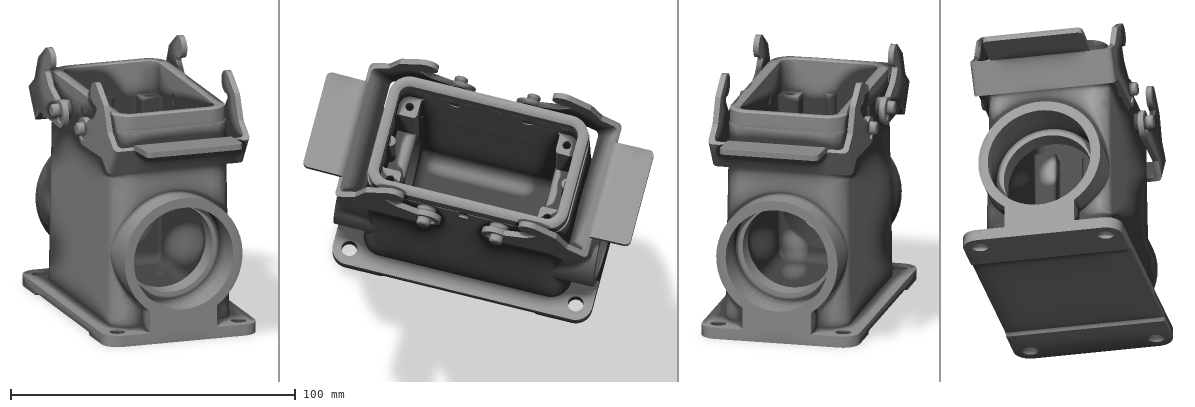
import cadquery as cq
import math

FLANGE_LENGTH = 93.9
FLANGE_WIDTH = 57.0
FLANGE_HEIGHT = 4.0
FLANGE_CORNER = 5.9
MOUNT_HOLE_DIA = 5.6
RELIEF_HEIGHT = 1.1
RELIEF_LENGTH = 56.9
RELIEF_SLOPE = 1.1

SHELL_LENGTH = 75.0
SHELL_WIDTH = 45.0
SHELL_CORNER = 7.4
SHELL_TOP = 75.0
DRAFT = 0.85

RIM_TOP = 80.7
RIM_LENGTH = 72.1
RIM_WIDTH = 42.7
RIM_CORNER = 7.5
RIM_WALL = 3.7
RIM_CROWN = 0.5
RIM_INNER_EDGE = 76.6

LEDGE_HEIGHT = 49.4
LEDGE_ROUND = 2.6
WELL_LENGTH = 50.3
WELL_WIDTH = 34.7
FLOOR_HEIGHT = 9.5
FLOOR_ROUND = 3.5
WELL_CORNER = 1.1

PILLAR_TOP = 68.8
PILLAR_FACE_Y = 10.1
PILLAR_ROUND = 1.4
PILLAR_END_BLEND = 0.7
SCREW_X = 28.5
SCREW_Y = 13.8
SCREW_DIA = 3.0
SCREW_DEPTH = 11.9
KEY_RADIUS = 1.9
KEY_INSET = 0.4

TUBE_DIA = 43.9
TUBE_HEIGHT = 30.1
BORE_DIA = 32.0
COUNTERBORE_DIA = 37.0
COUNTERBORE_DEPTH = 14.8
FOOT_WIDTH = 24.9
FOOT_RELIEF = 7.1

NOTCH_WIDTH = 3.3
NOTCH_HEIGHT = 4.7
NOTCH_DEPTH = 1.0

PIN_X = 13.2
PIN_Z = 71.0
PIN_DIA = 4.7
PIN_END = 28.0
PIN_CHAMFER = 0.5
PIN_ROOT = 1.2
PIN_COLLAR_DIA = 7.0
COLLAR_ROUND = 0.7
PIN_DIMPLE_DIA = 4.0
PIN_DIMPLE_DEPTH = 0.2

LEVER_HALF_WIDTH = 25.4
SHEET = 2.0
WEB_SHEET = 1.4
GAP_REACH = 59.3
EYE_X = -12.5
EYE_Z = 69.8
EYE_RADIUS = 5.0
SLOT_DX = 1.4
SLOT_DZ = -2.1
TIP_X = -24.8
TIP_Z = 86.7
TIP_RADIUS = 4.0
WEB_TOP = (-45.8, 70.8)
WEB_ANGLE = 55.5
WEB_LENGTH = 12.1
BEND_ROUND = 1.8
TAB_END = -59.3
TAB_TOP = 73.4
TAB_LIP = 1.2
BEND_HEIGHT = 72.8
TAB_BEND_ROUND = 3.1
TAB_WIDTH = 35.8
TAB_CORNER = 1.9


def rounded_plate(length, width, corner, bottom, top):
    """Rounded rectangular block with straight sides."""
    outline = cq.Sketch().rect(length, width).vertices().fillet(corner)
    return cq.Workplane("XY").workplane(offset=bottom).placeSketch(outline).extrude(top - bottom)


def drafted_block(length, width, corner, bottom, top, inset):
    """Rounded block whose sides move in by inset from bottom to top, with constant corners."""
    lower = cq.Sketch().rect(length, width).vertices().fillet(corner)
    upper = cq.Sketch().rect(length - 2 * inset, width - 2 * inset).vertices().fillet(corner)
    upper = upper.moved(cq.Location(cq.Vector(0, 0, top - bottom)))
    return cq.Workplane("XY").workplane(offset=bottom).placeSketch(lower, upper).loft(ruled=True)


def draft_inset(height):
    """Sideways travel of a drafted wall over a height."""
    return height * math.tan(math.radians(DRAFT))


def x_cylinder(diameter, start, end):
    """Cylinder on the cable axis between two X positions."""
    return (
        cq.Workplane("YZ", origin=(start, 0, TUBE_HEIGHT))
        .circle(diameter / 2)
        .extrude(end - start)
    )


def y_cylinder(x, z, diameter, start, end):
    """Cylinder along +Y between two Y positions."""
    return cq.Workplane("XZ", origin=(x, start, z)).circle(diameter / 2).extrude(start - end)


def make_flange():
    """Mounting flange with four holes and a shallow relief underneath."""
    flange = rounded_plate(FLANGE_LENGTH, FLANGE_WIDTH, FLANGE_CORNER, 0, FLANGE_HEIGHT)
    flange = (
        flange.faces(">Z")
        .workplane()
        .rect(FLANGE_LENGTH - 2 * FLANGE_CORNER, FLANGE_WIDTH - 2 * FLANGE_CORNER, forConstruction=True)
        .vertices()
        .hole(MOUNT_HOLE_DIA)
    )
    half = RELIEF_LENGTH / 2
    relief = (
        cq.Workplane("XZ")
        .polyline([
            (-half, 0),
            (-half + RELIEF_SLOPE, RELIEF_HEIGHT),
            (half - RELIEF_SLOPE, RELIEF_HEIGHT),
            (half, 0),
        ])
        .close()
        .extrude(FLANGE_WIDTH, both=True)
    )
    return flange.cut(relief)


def make_rim():
    """Ring with a slightly crowned top, swept around the shell opening."""
    mid_length = RIM_LENGTH - RIM_WALL
    mid_width = RIM_WIDTH - RIM_WALL
    path_outline = cq.Sketch().rect(mid_length, mid_width).vertices().fillet(RIM_CORNER - RIM_WALL / 2)
    path_block = cq.Workplane("XY").workplane(offset=SHELL_TOP).placeSketch(path_outline).extrude(1.2)
    path = path_block.faces("<Z").wires()
    half = RIM_WALL / 2
    side_top = RIM_TOP - SHELL_TOP - RIM_CROWN
    profile = (
        cq.Workplane("YZ", origin=(0, -mid_width / 2, SHELL_TOP))
        .moveTo(-half, 0)
        .lineTo(-half, side_top)
        .threePointArc((0, side_top + RIM_CROWN), (half, side_top))
        .lineTo(half, 0)
        .close()
    )
    return profile.sweep(path)


def make_cavity():
    """Upper opening with end ledges, stepping down into a narrower well."""
    length = RIM_LENGTH - 2 * RIM_WALL
    width = RIM_WIDTH - 2 * RIM_WALL
    corner = RIM_CORNER - RIM_WALL
    opening = rounded_plate(length, width, corner, RIM_INNER_EDGE, RIM_TOP)
    inset = draft_inset(RIM_INNER_EDGE - LEDGE_HEIGHT)
    upper = drafted_block(
        length - 2 * inset, width - 2 * inset, corner, LEDGE_HEIGHT, RIM_INNER_EDGE, -inset
    )
    well_inset = draft_inset(LEDGE_HEIGHT - FLOOR_HEIGHT)
    floor_outline = (
        cq.Sketch()
        .rect(WELL_LENGTH - 2 * well_inset, WELL_WIDTH - 2 * well_inset)
        .vertices()
        .fillet(WELL_CORNER)
    )
    well = (
        cq.Workplane("XY", origin=(0, 0, FLOOR_HEIGHT))
        .placeSketch(floor_outline)
        .extrude(LEDGE_HEIGHT - FLOOR_HEIGHT, taper=-DRAFT)
    )
    well = well.faces("<Z").edges().fillet(FLOOR_ROUND)
    cavity = opening.union(upper).union(well)
    for side in (-1, 1):
        ledge_round = (
            cq.Workplane("XZ", origin=(side * WELL_LENGTH / 2, 0, LEDGE_HEIGHT))
            .lineTo(side * LEDGE_ROUND, 0)
            .radiusArc((0, -LEDGE_ROUND), -side * LEDGE_ROUND)
            .close()
            .extrude(WELL_WIDTH / 2, both=True)
        )
        cavity = cavity.union(ledge_round)
    return cavity


def make_pillar():
    """Screw pillar in the +X +Y corner, blended into both walls."""
    wall_inset = draft_inset((RIM_INNER_EDGE - LEDGE_HEIGHT) / 2)
    wall_x = RIM_LENGTH / 2 - RIM_WALL - wall_inset
    wall_y = RIM_WIDTH / 2 - RIM_WALL - wall_inset
    buried_x = wall_x + RIM_WALL / 2
    buried_y = wall_y + RIM_WALL / 2
    face_x = WELL_LENGTH / 2
    face_y = PILLAR_FACE_Y
    bottom = LEDGE_HEIGHT - LEDGE_ROUND
    return (
        cq.Workplane("XY", origin=(0, 0, bottom))
        .moveTo(buried_x, buried_y)
        .lineTo(face_x - WELL_CORNER, buried_y)
        .lineTo(face_x - WELL_CORNER, wall_y)
        .radiusArc((face_x, wall_y - WELL_CORNER), WELL_CORNER)
        .lineTo(face_x, face_y + PILLAR_ROUND)
        .radiusArc((face_x + PILLAR_ROUND, face_y), -PILLAR_ROUND)
        .lineTo(wall_x - PILLAR_END_BLEND, face_y)
        .radiusArc((wall_x, face_y - PILLAR_END_BLEND), PILLAR_END_BLEND)
        .lineTo(buried_x, face_y - PILLAR_END_BLEND)
        .close()
        .extrude(PILLAR_TOP - bottom)
        .cut(
            cq.Workplane("XY", origin=(SCREW_X, SCREW_Y, PILLAR_TOP - SCREW_DEPTH))
            .circle(SCREW_DIA / 2)
            .extrude(SCREW_DEPTH)
        )
    )


def add_pillars(body):
    """Four mirrored screw pillars."""
    pillar = make_pillar()
    for end_pillar in (pillar, pillar.mirror("YZ")):
        body = body.union(end_pillar).union(end_pillar.mirror("XZ"))
    return body


def make_housing():
    """Flange, drafted shell, cable tubes and the hollow inside them."""
    body = make_flange()
    shell = drafted_block(
        SHELL_LENGTH, SHELL_WIDTH, SHELL_CORNER, FLANGE_HEIGHT, SHELL_TOP, draft_inset(SHELL_TOP - FLANGE_HEIGHT)
    )
    body = body.union(shell)
    end = FLANGE_LENGTH / 2
    body = body.union(x_cylinder(TUBE_DIA, -end, end))
    foot = cq.Workplane("XY").box(FLANGE_LENGTH, FOOT_WIDTH, TUBE_HEIGHT, centered=(True, True, False))
    foot_relief = cq.Workplane("XY").box(SHELL_LENGTH - FOOT_RELIEF, FOOT_WIDTH, FLANGE_HEIGHT * 2)
    body = body.union(foot.cut(foot_relief))
    body = body.cut(make_cavity()).union(make_rim())
    body = add_pillars(body)
    key_x = RIM_LENGTH / 2 - RIM_WALL - KEY_INSET
    for side in (-1, 1):
        key = (
            cq.Workplane("XY", origin=(side * key_x, 0, LEDGE_HEIGHT))
            .circle(KEY_RADIUS)
            .extrude(PILLAR_TOP - LEDGE_HEIGHT)
        )
        body = body.union(key)
    body = body.cut(x_cylinder(BORE_DIA, -end, end))
    for side in (-1, 1):
        body = body.cut(x_cylinder(COUNTERBORE_DIA, side * end, side * (end - COUNTERBORE_DEPTH)))
    return body


def add_pins(body):
    """Hinge pins with collars outside and shallow dimples inside the long walls."""
    inner_wall = RIM_WIDTH / 2 - RIM_WALL
    root = inner_wall + PIN_ROOT
    plate_inside = LEVER_HALF_WIDTH - SHEET
    for x in (-PIN_X, PIN_X):
        collar = y_cylinder(x, PIN_Z, PIN_COLLAR_DIA, root, plate_inside)
        collar = collar.faces(">Y").edges().fillet(COLLAR_ROUND)
        pin = y_cylinder(x, PIN_Z, PIN_DIA, root, PIN_END).faces(">Y").chamfer(PIN_CHAMFER)
        dimple = y_cylinder(x, PIN_Z, PIN_DIMPLE_DIA, 0, inner_wall + PIN_DIMPLE_DEPTH)
        for tool in (collar, pin):
            body = body.union(tool).union(tool.mirror("XZ"))
        body = body.cut(dimple).cut(dimple.mirror("XZ"))
    return body


def cut_notches(body):
    """Small notch below the rim in the middle of each long wall."""
    for side in (-1, 1):
        notch = cq.Workplane("XY").box(NOTCH_WIDTH, 2 * NOTCH_DEPTH, NOTCH_HEIGHT).translate(
            (0, side * RIM_WIDTH / 2, SHELL_TOP - NOTCH_HEIGHT / 2)
        )
        body = body.cut(notch)
    return body


def web_point(along, inward):
    """Point measured down the slanted web and inward from its outer face."""
    a = math.radians(WEB_ANGLE)
    return (
        WEB_TOP[0] + along * math.cos(a) + inward * math.sin(a),
        WEB_TOP[1] - along * math.sin(a) + inward * math.cos(a),
    )


def make_side_plates():
    """Full-width lever blank with the hook, eye and web outline."""
    outline = (
        cq.Workplane("XZ")
        .moveTo(*WEB_TOP)
        .lineTo(*web_point(WEB_LENGTH, 0))
        .lineTo(-32.4, 65.3)
        .lineTo(EYE_X, EYE_Z - EYE_RADIUS)
        .threePointArc((EYE_X + EYE_RADIUS, EYE_Z), (EYE_X, EYE_Z + EYE_RADIUS))
        .threePointArc((-14.1, 74.52), (-15.5, 73.7))
        .lineTo(-23.4, 76.9)
        .lineTo(-26.5, 80.6)
        .threePointArc((-27.0, 82.0), (-26.1, 82.5))
        .lineTo(TIP_X, TIP_Z - TIP_RADIUS)
        .threePointArc((TIP_X + TIP_RADIUS, TIP_Z), (TIP_X, TIP_Z + TIP_RADIUS))
        .threePointArc((-26.1, 90.5), (-27.0, 90.0))
        .lineTo(-34.5, 84.8)
        .lineTo(-38.4, 76.0)
        .close()
    )
    return outline.extrude(LEVER_HALF_WIDTH, both=True)


def make_tab():
    """Finger tab that leaves the top of the web with a rounded bend."""
    rise = 1 / math.tan(math.radians(WEB_ANGLE))
    web_inner_top = web_point(0, WEB_SHEET)
    bend_top = (web_inner_top[0] - rise * (BEND_HEIGHT - web_inner_top[1]), BEND_HEIGHT)
    under = BEND_HEIGHT - SHEET
    bend_under = (WEB_TOP[0] - rise * (under - WEB_TOP[1]), under)
    return (
        cq.Workplane("XZ")
        .polyline([
            (TAB_END, TAB_TOP - SHEET),
            (TAB_END, TAB_TOP),
            (TAB_END + TAB_LIP, TAB_TOP),
            bend_top,
            web_point(WEB_SHEET, WEB_SHEET),
            web_point(WEB_SHEET, 0),
            bend_under,
            (TAB_END + TAB_LIP, TAB_TOP - SHEET),
        ])
        .close()
        .extrude(TAB_WIDTH / 2, both=True)
        .edges("<X and |Z")
        .fillet(TAB_CORNER)
        .edges(cq.selectors.NearestToPointSelector((bend_top[0], 0, bend_top[1])))
        .fillet(TAB_BEND_ROUND)
    )


def make_lever():
    """Side plates joined by a slanted web, with a finger tab and pin slots."""
    gap = (
        cq.Workplane("XZ")
        .polyline([
            web_point(-GAP_REACH, WEB_SHEET),
            web_point(GAP_REACH, WEB_SHEET),
            web_point(GAP_REACH, GAP_REACH),
            web_point(-GAP_REACH, GAP_REACH),
        ])
        .close()
        .extrude(LEVER_HALF_WIDTH - SHEET, both=True)
    )
    outer_mid = web_point(WEB_LENGTH / 2, 0)
    inner_mid = web_point(0, WEB_SHEET)
    for side in (-1, 1):
        inner_edge = (inner_mid[0], side * (LEVER_HALF_WIDTH - SHEET), inner_mid[1])
        gap = gap.edges(cq.selectors.NearestToPointSelector(inner_edge)).fillet(BEND_ROUND)
    lever = make_side_plates()
    for side in (-1, 1):
        outer_edge = (outer_mid[0], side * LEVER_HALF_WIDTH, outer_mid[1])
        lever = lever.edges(cq.selectors.NearestToPointSelector(outer_edge)).fillet(BEND_ROUND)
    lever = lever.cut(gap).union(make_tab())
    slot = (
        cq.Workplane("XZ", origin=(-PIN_X + SLOT_DX / 2, 0, PIN_Z + SLOT_DZ / 2))
        .transformed(rotate=(0, 0, math.degrees(math.atan2(SLOT_DZ, SLOT_DX))))
        .slot2D(math.hypot(SLOT_DX, SLOT_DZ) + PIN_DIA, PIN_DIA)
        .extrude(FLANGE_WIDTH / 2, both=True)
    )
    return lever.cut(slot)


housing = cut_notches(add_pins(make_housing()))
left_lever = make_lever()
levers = [left_lever.val(), left_lever.mirror("YZ").val()]

result = cq.Compound.makeCompound([housing.val(), *levers])